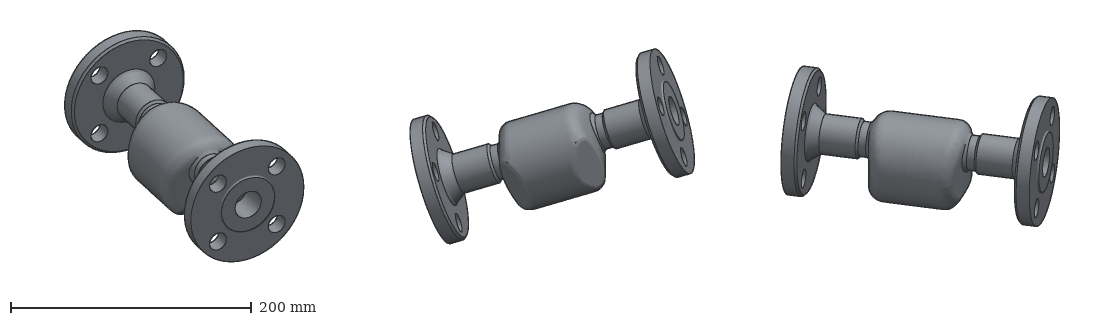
import cadquery as cq
import math

overall_length = 215.0

flange_diameter = 108.0
flange_thickness = 13.2
flange_chamfer = 2.0
raised_face_diameter = 50.8
raised_face_height = 1.4
raised_face_root_radius = raised_face_height
bolt_hole_diameter = 16.0
bolt_circle_diameter = 79.4
bolt_count = 4
bore_diameter = 25.0

hub_toe_radius = 24.8
hub_cone_radius = 22.8
hub_toe_length = 1.8
hub_cone_length = 8.5
pipe_diameter = 34.0
pipe_inner_end = 51.6
pipe_end_chamfer = 2.0
neck_diameter = 29.7
weld_cone_start = 43.1
weld_cone_length = 4.0

body_diameter = 76.0
body_half_length = 42.0
body_drop = 14.0
end_face_radius = 76.0
end_fillet_radius = 12.0
slope_leg = 20.0
slope_fillet_radius = 5.0
middle_ring_width = 10.0

half_length = overall_length / 2
flange_outer_face = half_length - raised_face_height
flange_inner_face = flange_outer_face - flange_thickness
hub_cone_start = flange_inner_face - hub_toe_length
hub_cone_end = hub_cone_start - hub_cone_length
bore_depth = half_length - hub_cone_end
body_radius = body_diameter / 2


def connection():
    """Flange, hub, pipe and neck on the +X side, revolved about the X axis."""
    flange_radius = flange_diameter / 2
    face_radius = raised_face_diameter / 2
    pipe_radius = pipe_diameter / 2
    neck_radius = neck_diameter / 2
    root = raised_face_root_radius
    root_middle = root * (1 - math.sqrt(0.5))
    profile = (
        cq.Workplane("XY")
        .moveTo(0, 0)
        .lineTo(half_length, 0)
        .lineTo(half_length, face_radius)
        .threePointArc(
            (flange_outer_face + root_middle, face_radius + root_middle),
            (flange_outer_face, face_radius + root),
        )
        .lineTo(flange_outer_face, flange_radius)
        .lineTo(flange_inner_face + flange_chamfer, flange_radius)
        .lineTo(flange_inner_face, flange_radius - flange_chamfer)
        .lineTo(flange_inner_face, hub_toe_radius)
        .lineTo(hub_cone_start, hub_cone_radius)
        .lineTo(hub_cone_end, pipe_radius)
        .lineTo(pipe_inner_end, pipe_radius)
        .lineTo(pipe_inner_end - pipe_end_chamfer, neck_radius)
        .lineTo(weld_cone_start, neck_radius)
        .lineTo(weld_cone_start - weld_cone_length, neck_radius + weld_cone_length)
        .lineTo(0, neck_radius + weld_cone_length)
        .close()
    )
    solid = profile.revolve(360, (0, 0, 0), (1, 0, 0))

    outer_plane = cq.Workplane("YZ", origin=(half_length, 0, 0))
    bore = outer_plane.circle(bore_diameter / 2).extrude(-bore_depth)
    bolt_holes = (
        outer_plane
        .polarArray(bolt_circle_diameter / 2, 180 / bolt_count, 360, bolt_count)
        .circle(bolt_hole_diameter / 2)
        .extrude(flange_inner_face - half_length)
    )
    return solid.cut(bore).cut(bolt_holes)


def chamber_end():
    """+X end of the chamber: bulged end face, sloped underside, rounded rim."""
    ring_end = middle_ring_width / 2
    cylinder = (
        cq.Workplane("YZ", origin=(ring_end, 0, -body_drop))
        .circle(body_radius)
        .extrude(body_half_length - ring_end)
    )
    end_envelope = (
        cq.Workplane("XY", origin=(body_half_length - end_face_radius, 0, -body_drop))
        .circle(end_face_radius)
        .extrude(body_radius, both=True)
    )
    bottom = -body_drop - body_radius
    slope = (
        cq.Workplane("XZ")
        .moveTo(body_half_length, bottom)
        .lineTo(body_half_length, bottom + slope_leg)
        .lineTo(body_half_length - slope_leg, bottom)
        .close()
        .extrude(body_radius, both=True)
    )
    rounded_end = cylinder.intersect(end_envelope).edges(">X").fillet(end_fillet_radius)
    return rounded_end.cut(slope).faces(">(1, 0, -1)").edges().fillet(slope_fillet_radius)


def middle_ring():
    """Plain cylindrical band joining the two chamber ends."""
    return (
        cq.Workplane("YZ", origin=(0, 0, -body_drop))
        .circle(body_radius)
        .extrude(middle_ring_width / 2, both=True)
    )


half = connection().union(chamber_end())
result = half.union(half.mirror("YZ")).union(middle_ring())